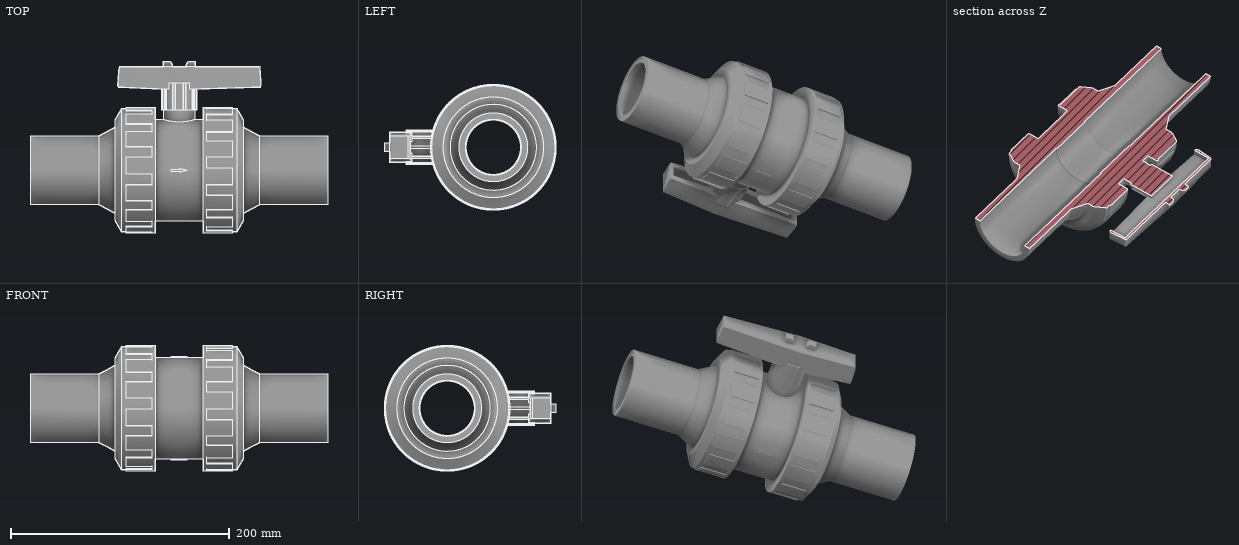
import cadquery as cq
import math


overlap = 2.7

overall_length = 273.0
pipe_radius = 63.0 / 2
pipe_bore_radius = 51.3 / 2
ball_bore_radius = 50.0 / 2
cone_start_x = 73.7
cone_base_radius = 79.0 / 2

body_radius = 93.5 / 2

nut_inner_x = 21.8
nut_outer_x = 59.0
nut_chamfer_length = 6.0
nut_face_radius = 46.1
nut_root_radius = 113.0 / 2
nut_grip_radius = 115.2 / 2
nut_collar_width = 3.0
grip_end_x = 49.0
grip_count = 14
grip_pitch = 360 / grip_count
grip_arc = 15.6
left_grip_angle = 4.5
right_grip_angle = -5.6

stem_radius = 14.5
sleeve_radius = 15.3
sleeve_bottom_y = 55.5
sleeve_top_y = 80.0
rib_count = 10
rib_width = 2.5
rib_outer_radius = 16.0

handle_left_x = -56.5
handle_right_x = 75.0
handle_end_draft = 1.0
handle_crease_x = -0.5
end_chamfer_length = 0.8
end_chamfer_height = 2.2
handle_top_y = 95.0
handle_end_bottom_y = 76.2
handle_middle_bottom_y = 74.5
handle_flat_half = 19.0
handle_middle_thickness = 27.5
handle_side_taper = 0.06
slot_width = 11.0
slot_end_wall = 3.0
slot_roof = 2.7
window_half_length = 9.5

tab_outer_x = 14.7
tab_tip_length = 6.0
tab_base_length = 8.5
overall_width = 157.5
tab_top_y = overall_width - nut_grip_radius
tab_thickness = 8.0

arrow_tail_x = -7.6
arrow_head_x = 0.0
arrow_tip_x = 7.0
arrow_shaft_half = 0.8
arrow_head_half = 1.6
arrow_height = 0.5


def cylinder_x(radius, start_x, end_x):
    """Solid cylinder on the flow axis."""
    return cq.Workplane("YZ").workplane(offset=start_x).circle(radius).extrude(end_x - start_x)


def cylinder_y(radius, start_y, end_y):
    """Solid cylinder on the stem axis, from start_y up to end_y."""
    disc = cq.Workplane("XZ").workplane(offset=-start_y).circle(radius)
    return disc.extrude(start_y - end_y)


def make_end(side):
    """Pipe, cone and nut of one end; side is +1 or -1."""
    profile = [
        (0, 0),
        (0, body_radius),
        (nut_inner_x, body_radius),
        (nut_inner_x, nut_root_radius),
        (nut_outer_x - nut_chamfer_length, nut_root_radius),
        (nut_outer_x, nut_face_radius),
        (nut_outer_x, cone_base_radius),
        (cone_start_x, pipe_radius),
        (overall_length / 2, pipe_radius),
        (overall_length / 2, 0),
    ]
    points = [(side * x, radius) for x, radius in profile]
    return cq.Workplane("XY").polyline(points).close().revolve(360, (0, 0, 0), (1, 0, 0))


def make_grips(side, first_grip_angle):
    """Collar at the inner edge of a nut with raised grip pads running out from it."""
    def at(radius, angle):
        angle = math.radians(angle)
        return (radius * math.sin(angle), radius * math.cos(angle))

    ring_inner_radius = nut_root_radius - overlap
    ring = (
        cq.Workplane("YZ").workplane(offset=side * nut_inner_x)
        .circle(nut_grip_radius).circle(ring_inner_radius)
        .extrude(side * (grip_end_x - nut_inner_x))
    )

    gap_inner_radius = ring_inner_radius - overlap
    gap_outer_radius = nut_grip_radius + overlap
    gap_half = (grip_pitch - grip_arc) / 2
    gap_start_x = nut_inner_x + nut_collar_width
    gaps = cq.Workplane("YZ").workplane(offset=side * gap_start_x)
    for index in range(grip_count):
        middle = first_grip_angle + (index + 0.5) * grip_pitch
        corners = [
            at(gap_inner_radius, middle - gap_half),
            at(gap_outer_radius, middle - gap_half),
            at(gap_outer_radius, middle + gap_half),
            at(gap_inner_radius, middle + gap_half),
        ]
        gaps = gaps.polyline(corners).close()
    return ring.cut(gaps.extrude(side * (overall_length / 2 - gap_start_x)))


def make_stem():
    """Stem rising from inside the body, with ribs around its upper part."""
    stem = cylinder_y(stem_radius, ball_bore_radius + overlap, sleeve_bottom_y)
    stem = stem.union(cylinder_y(sleeve_radius, sleeve_bottom_y, sleeve_top_y))
    sleeve_height = sleeve_top_y - sleeve_bottom_y
    for index in range(rib_count):
        rib = (
            cq.Workplane("XY")
            .box(rib_outer_radius, sleeve_height, rib_width, centered=(False, False, True))
            .translate((0, sleeve_bottom_y, 0))
            .rotate((0, 0, 0), (0, 1, 0), index * 360 / rib_count)
        )
        stem = stem.union(rib)
    return stem


def make_handle():
    """Bar thickest over the stem, slotted from the side facing the body, with a window for the sleeve."""
    left_top_x = handle_left_x + handle_end_draft
    side_outline = [
        (left_top_x + end_chamfer_length, handle_top_y),
        (left_top_x, handle_top_y - end_chamfer_height),
        (handle_left_x, handle_end_bottom_y + end_chamfer_height),
        (handle_left_x + end_chamfer_length, handle_end_bottom_y),
        (-handle_flat_half, handle_middle_bottom_y),
        (handle_flat_half, handle_middle_bottom_y),
        (handle_right_x - end_chamfer_length, handle_end_bottom_y),
        (handle_right_x, handle_end_bottom_y + end_chamfer_height),
        (handle_right_x - handle_end_draft, handle_top_y),
    ]
    side_solid = (
        cq.Workplane("XY").polyline(side_outline).close()
        .extrude(handle_middle_thickness / 2, both=True)
    )
    middle_half = handle_middle_thickness / 2
    left_half = middle_half - handle_side_taper * (handle_crease_x - handle_left_x)
    right_half = middle_half - handle_side_taper * (handle_right_x - handle_crease_x)
    plan_outline = [
        (handle_left_x, -left_half),
        (handle_crease_x, -middle_half),
        (handle_right_x, -right_half),
        (handle_right_x, right_half),
        (handle_crease_x, middle_half),
        (handle_left_x, left_half),
    ]
    plan_solid = cq.Workplane("XZ").polyline(plan_outline).close().extrude(-handle_top_y)
    handle = side_solid.intersect(plan_solid)

    slot_length = handle_right_x - handle_left_x - 2 * slot_end_wall
    slot = (
        cq.Workplane("XY")
        .box(slot_length, handle_top_y - slot_roof, slot_width, centered=(False, False, True))
        .translate((handle_left_x + slot_end_wall, 0, 0))
    )
    window = cq.Workplane("XY").box(
        2 * window_half_length, sleeve_top_y, handle_middle_thickness, centered=(True, False, True)
    )
    return handle.cut(slot).cut(window)


def make_tab(side):
    """Tab on the back of the handle, rounded towards the middle."""
    tip_x = tab_outer_x - tab_tip_length
    base_x = tab_outer_x - tab_base_length
    round_width = tip_x - base_x
    round_height = tab_top_y - handle_top_y
    bulge = math.sqrt(0.5)
    return (
        cq.Workplane("XY")
        .moveTo(side * tab_outer_x, handle_top_y - overlap)
        .lineTo(side * tab_outer_x, tab_top_y)
        .lineTo(side * tip_x, tab_top_y)
        .threePointArc(
            (side * (tip_x - bulge * round_width), handle_top_y + bulge * round_height),
            (side * base_x, handle_top_y),
        )
        .lineTo(side * base_x, handle_top_y - overlap)
        .close()
        .extrude(tab_thickness / 2, both=True)
    )


def make_arrow(side):
    """Flow arrow standing on the top (+1) or bottom (-1) of the body."""
    outline = [
        (arrow_tail_x, arrow_shaft_half),
        (arrow_head_x, arrow_shaft_half),
        (arrow_head_x, arrow_head_half),
        (arrow_tip_x, 0),
        (arrow_head_x, -arrow_head_half),
        (arrow_head_x, -arrow_shaft_half),
        (arrow_tail_x, -arrow_shaft_half),
    ]
    start = cq.Workplane("XY").workplane(offset=side * (body_radius - overlap))
    return start.polyline(outline).close().extrude(side * (overlap + arrow_height))


valve = make_end(-1).union(make_end(1))
valve = valve.union(make_grips(-1, left_grip_angle)).union(make_grips(1, right_grip_angle))
valve = valve.union(make_stem()).union(make_handle())
for side in (-1, 1):
    valve = valve.union(make_tab(side)).union(make_arrow(side))

valve = valve.cut(cylinder_x(ball_bore_radius, -nut_inner_x, nut_inner_x))
valve = valve.cut(cylinder_x(pipe_bore_radius, nut_inner_x, overall_length / 2))
valve = valve.cut(cylinder_x(pipe_bore_radius, -overall_length / 2, -nut_inner_x))

result = valve